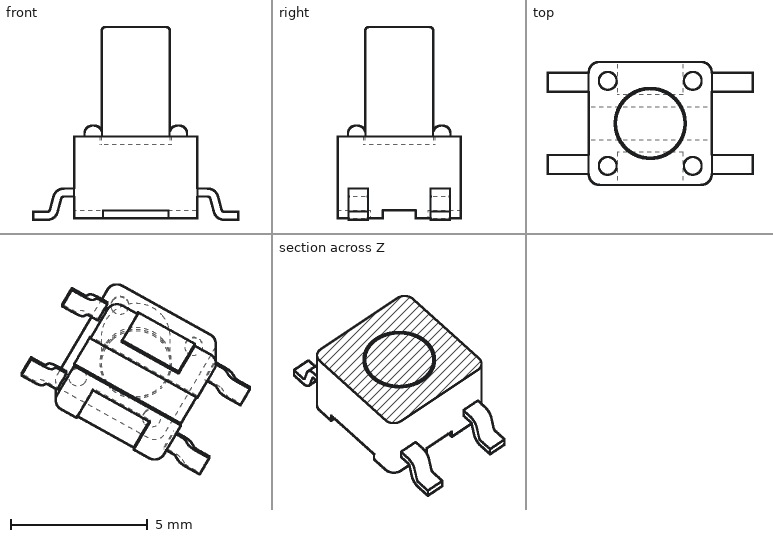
import cadquery as cq
import math

total_length = 7.5
total_height = 7.05

body_width = 4.5
body_height = 3.0
standoff = 0.05
corner_radius = 0.4
cover_thickness = 0.3
body_top = standoff + body_height

button_diameter = 2.5
button_edge_radius = 0.15
clearance_diameter = 2.6

peg_diameter = 0.65
peg_height = 0.4
peg_dome_radius = 0.3
peg_offset = 1.55

recess_height = 0.3
channel_width = 1.2
notch_width = 2.4
notch_depth = 1.2

lead_thickness = 0.3
lead_width = 0.705
lead_top = 1.15
lead_slope = math.radians(15)
bend_inner_radius = 0.1
bend_outer_radius = bend_inner_radius + lead_thickness
upper_bend_x = 2.625
lead_embed = 0.075
lead_y = body_width / 2 - corner_radius - lead_width / 2


def make_body():
    body = (
        cq.Workplane("XY")
        .workplane(offset=standoff)
        .rect(body_width, body_width)
        .extrude(body_height)
        .edges("|Z")
        .fillet(corner_radius)
    )
    underside = cq.Workplane("XY").workplane(offset=standoff)
    channel = underside.rect(body_width, channel_width).extrude(recess_height)
    notches = (
        underside.pushPoints([(0, side * (body_width - notch_depth) / 2) for side in (-1, 1)])
        .rect(notch_width, notch_depth)
        .extrude(recess_height)
    )
    clearance = (
        cq.Workplane("XY")
        .workplane(offset=body_top - cover_thickness)
        .circle(clearance_diameter / 2)
        .extrude(cover_thickness)
    )
    return body.cut(channel).cut(notches).cut(clearance)


def make_button():
    button_base = body_top - cover_thickness
    return (
        cq.Workplane("XY")
        .workplane(offset=button_base)
        .circle(button_diameter / 2)
        .extrude(total_height - button_base)
        .faces(">Z")
        .edges()
        .fillet(button_edge_radius)
    )


def make_pegs():
    return (
        cq.Workplane("XY")
        .workplane(offset=body_top)
        .rect(2 * peg_offset, 2 * peg_offset, forConstruction=True)
        .vertices()
        .circle(peg_diameter / 2)
        .extrude(peg_height)
        .faces(">Z")
        .edges()
        .fillet(peg_dome_radius)
    )


def polar(center, radius, angle):
    return (center[0] + radius * math.cos(angle), center[1] + radius * math.sin(angle))


def make_lead():
    """Lead on the +X side, centred on Y = 0, with two concentric bends."""
    upper = (upper_bend_x, lead_top - bend_outer_radius)
    center_gap = bend_inner_radius + bend_outer_radius
    drop = upper[1] - bend_outer_radius
    leg_length = (drop + center_gap * math.sin(lead_slope)) / math.cos(lead_slope)
    lower_x = upper[0] + center_gap * math.cos(lead_slope) + leg_length * math.sin(lead_slope)
    lower = (lower_x, bend_outer_radius)

    root_x = body_width / 2 - lead_embed
    tip_x = total_length / 2
    upper_mid = (lead_slope + math.pi / 2) / 2
    lower_mid = upper_mid + math.pi
    lower_start = lead_slope + math.pi
    return (
        cq.Workplane("XZ")
        .moveTo(root_x, lead_top)
        .lineTo(upper[0], lead_top)
        .threePointArc(
            polar(upper, bend_outer_radius, upper_mid),
            polar(upper, bend_outer_radius, lead_slope),
        )
        .lineTo(*polar(lower, bend_inner_radius, lower_start))
        .threePointArc(
            polar(lower, bend_inner_radius, lower_mid),
            (lower[0], lead_thickness),
        )
        .lineTo(tip_x, lead_thickness)
        .lineTo(tip_x, 0)
        .lineTo(lower[0], 0)
        .threePointArc(
            polar(lower, bend_outer_radius, lower_mid),
            polar(lower, bend_outer_radius, lower_start),
        )
        .lineTo(*polar(upper, bend_inner_radius, lead_slope))
        .threePointArc(
            polar(upper, bend_inner_radius, upper_mid),
            (upper[0], lead_top - lead_thickness),
        )
        .lineTo(root_x, lead_top - lead_thickness)
        .close()
        .extrude(lead_width / 2, both=True)
    )


result = make_body().union(make_button()).union(make_pegs())
right_lead = make_lead()
for lead in (right_lead, right_lead.mirror("YZ")):
    for side in (-1, 1):
        result = result.union(lead.translate((0, side * lead_y, 0)))